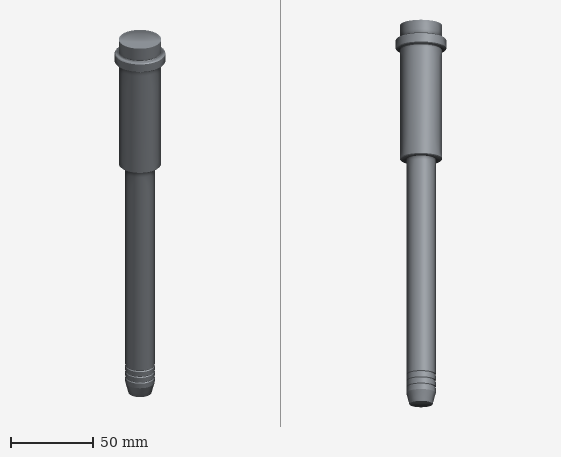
import cadquery as cq
import math

total_length = 240.0
collar_diameter = 31.0
body_diameter = 26.0
rod_diameter = 18.0

body_length = 85.0
body_chamfer = 0.5

collar_depth = 12.0
collar_length = 6.0
collar_chamfer = 0.5

groove_width = 1.0
groove_depth = 0.5
tip_groove_count = 3
lowest_groove_height = 10.5
groove_row_length = 8.0

tip_length = 7.0
tip_taper_angle = 15.0

body_bottom = total_length - body_length
collar_top = total_length - collar_depth + collar_length / 2
collar_bottom = collar_top - collar_length


def cylinder(diameter, bottom, length):
    return cq.Workplane("XY").workplane(offset=bottom).circle(diameter / 2).extrude(length)


def groove_cutter(shaft_diameter, middle):
    """Triangular ring to cut from a shaft, centred on the height `middle`."""
    shaft_radius = shaft_diameter / 2
    profile = [
        (shaft_radius, middle - groove_width / 2),
        (shaft_radius - groove_depth, middle),
        (shaft_radius, middle + groove_width / 2),
    ]
    return cq.Workplane("XZ").polyline(profile).close().revolve(360, (0, 0, 0), (0, 1, 0))


def make_rod():
    tip_inset = tip_length * math.tan(math.radians(tip_taper_angle))
    rod = cylinder(rod_diameter, 0, body_bottom)
    rod = rod.faces("<Z").chamfer(tip_length, tip_inset)
    groove_pitch = groove_row_length / (tip_groove_count - 1)
    for index in range(tip_groove_count):
        rod = rod.cut(groove_cutter(rod_diameter, lowest_groove_height + index * groove_pitch))
    return rod


def make_body():
    body = cylinder(body_diameter, body_bottom, body_length)
    body = body.faces("<Z").chamfer(body_chamfer)
    for middle in (collar_top + groove_width / 2, collar_bottom - groove_width / 2):
        body = body.cut(groove_cutter(body_diameter, middle))
    return body


def make_collar():
    collar = cylinder(collar_diameter, collar_bottom, collar_length)
    return collar.faces("<Z or >Z").chamfer(collar_chamfer)


result = make_rod().union(make_body()).union(make_collar())